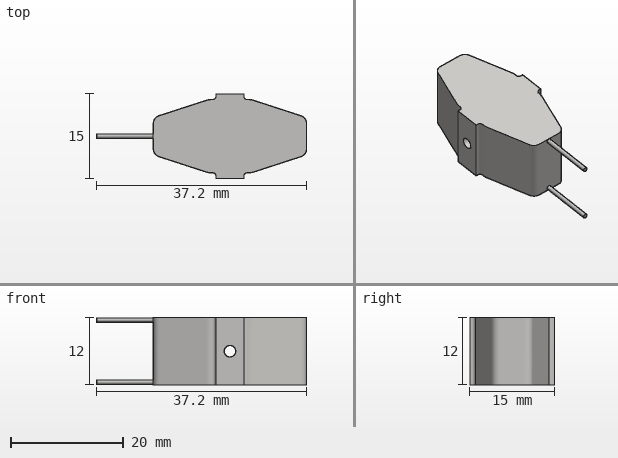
import cadquery as cq

overall_length = 37.2
overall_width = 15.0
height = 12.0
wire_length = 10.0
body_length = overall_length - wire_length

shoulder_width = 13.02
shoulder_half_length = 3.75
end_width = 6.62
tab_width = 5.0
tab_root_radius = 0.55
shoulder_radius = 2.6
end_radius = 1.5

hole_diameter = 2.0
wire_diameter = 0.8
wire_spacing = 11.0
wire_embed = 0.37


def vertical_edges(body, x, y):
    """Select the four vertical edges at (+-x, +-y)."""
    margin = 0.05
    edges = body.edges("|Z").filter(
        lambda edge: abs(abs(edge.Center().x) - x) < margin
        and abs(abs(edge.Center().y) - y) < margin
    )
    return edges


def make_body():
    """Tapered block with a flat tab on each long side."""
    half_length = body_length / 2
    half_end = end_width / 2
    half_shoulder = shoulder_width / 2
    block = (
        cq.Workplane("XY")
        .polyline([
            (half_length, half_end),
            (shoulder_half_length, half_shoulder),
            (-shoulder_half_length, half_shoulder),
            (-half_length, half_end),
            (-half_length, -half_end),
            (-shoulder_half_length, -half_shoulder),
            (shoulder_half_length, -half_shoulder),
            (half_length, -half_end),
        ])
        .close()
        .extrude(height / 2, both=True)
    )
    tabs = cq.Workplane("XY").box(tab_width, overall_width, height)
    body = block.union(tabs)
    body = vertical_edges(body, half_length, half_end).fillet(end_radius)
    body = vertical_edges(body, shoulder_half_length, half_shoulder).fillet(shoulder_radius)
    return vertical_edges(body, tab_width / 2, half_shoulder).fillet(tab_root_radius)


def make_hole():
    """Round hole running across the body from tab to tab."""
    return cq.Workplane("XZ").circle(hole_diameter / 2).extrude(overall_width, both=True)


def make_wires():
    """Pair of round leads leaving the -X end, one above the other."""
    return (
        cq.Workplane("YZ", origin=(-body_length / 2 - wire_length, 0, 0))
        .pushPoints([(0, -wire_spacing / 2), (0, wire_spacing / 2)])
        .circle(wire_diameter / 2)
        .extrude(wire_length + wire_embed)
    )


result = make_body().cut(make_hole()).union(make_wires())